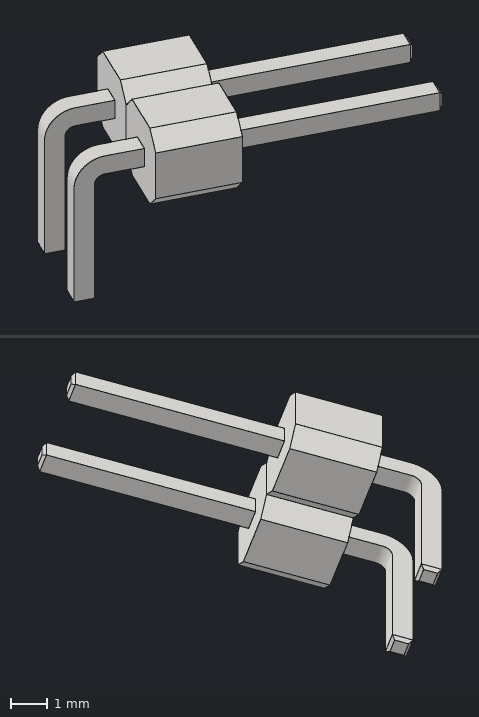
import cadquery as cq

module_count = 2
pitch = 2.54
block_chamfer = pitch / 5
pin_width = 0.6
tip_chamfer = 0.1
inner_bend_radius = 0.3
bend_radius = inner_bend_radius + pin_width / 2
total_length = 10.8
total_height = 5.73
front_reach = 2.06

rear_tip_y = total_length - front_reach - pitch / 2
leg_y = pin_width / 2 - front_reach - pitch / 2
lower_tip_z = pitch / 2 - total_height


def make_block():
    """Cube with its four edges along Y chamfered."""
    return cq.Workplane("XY").box(pitch, pitch, pitch).edges("|Y").chamfer(block_chamfer)


def make_pin():
    """Square wire bent down at the front, with both tips chamfered."""
    centre_line = (
        cq.Workplane("YZ")
        .moveTo(rear_tip_y, 0)
        .lineTo(leg_y + bend_radius, 0)
        .radiusArc((leg_y, -bend_radius), -bend_radius)
        .lineTo(leg_y, lower_tip_z)
    )
    pin = (
        cq.Workplane("XZ", origin=(0, rear_tip_y, 0))
        .rect(pin_width, pin_width)
        .sweep(centre_line)
    )
    return pin.faces(">Y or <Z").edges().chamfer(tip_chamfer)


def make_module(index):
    """One block joined to its pin, moved to its place in the row."""
    centre_x = (index - (module_count - 1) / 2) * pitch
    return make_block().union(make_pin()).translate((centre_x, 0, 0))


modules = [make_module(index) for index in range(module_count)]

result = cq.Compound.makeCompound([module.solids().val() for module in modules])